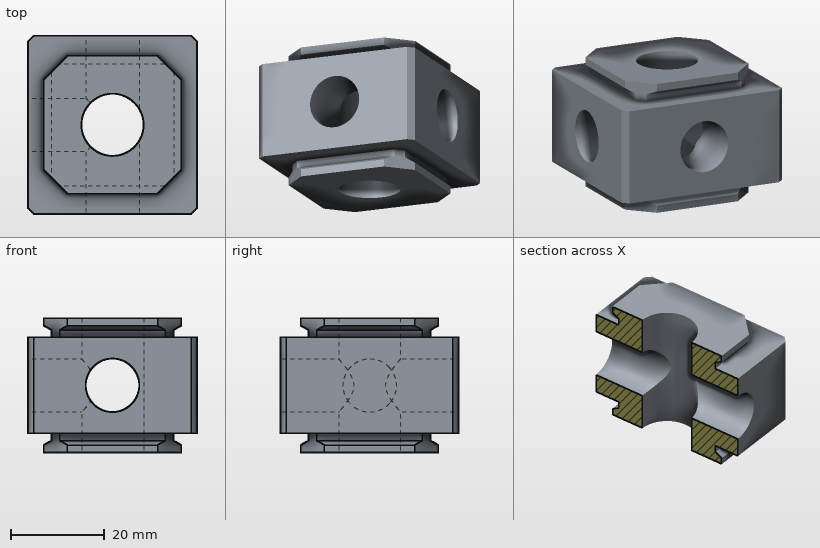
import cadquery as cq
import math

BLOCK_X = 36.0
BLOCK_Y = 38.0
BLOCK_Z = 20.5
BLOCK_CORNER_CUT = 1.27

TOTAL_HEIGHT = 28.63
NECK_WIDTH = 26.0
FLANGE_WIDTH = 29.3
FLANGE_CORNER_CUT = 5.05
FLANGE_RIM = 1.6
UNDERCUT_ANGLE = 30.0

VERTICAL_BORE_DIAMETER = 13.2
CROSS_BORE_DIAMETER = 11.35

PAD_HEIGHT = (TOTAL_HEIGHT - BLOCK_Z) / 2
FLANGE_OVERHANG = (FLANGE_WIDTH - NECK_WIDTH) / 2
UNDERCUT_HEIGHT = FLANGE_OVERHANG * math.tan(math.radians(UNDERCUT_ANGLE))
NECK_HEIGHT = PAD_HEIGHT - FLANGE_RIM - UNDERCUT_HEIGHT


def make_octagon(width_x, width_y, corner_cut, height):
    """Upright prism on the XY plane: a rectangle with its four corners cut at 45 degrees."""
    half_x = width_x / 2
    half_y = width_y / 2
    flat_x = half_x - corner_cut
    flat_y = half_y - corner_cut
    outline = [
        (half_x, flat_y),
        (flat_x, half_y),
        (-flat_x, half_y),
        (-half_x, flat_y),
        (-half_x, -flat_y),
        (-flat_x, -half_y),
        (flat_x, -half_y),
        (half_x, -flat_y),
    ]
    return cq.Workplane("XY").polyline(outline).close().extrude(height)


def make_block():
    """Central block with cut corners, centred on the origin."""
    block = make_octagon(BLOCK_X, BLOCK_Y, BLOCK_CORNER_CUT, BLOCK_Z)
    return block.translate((0, 0, -BLOCK_Z / 2))


def make_top_pad():
    """Square neck, flared flange and rim, trimmed by common 45 degree corner planes."""
    neck = cq.Workplane("XY").rect(NECK_WIDTH, NECK_WIDTH).extrude(NECK_HEIGHT)
    flare = (
        cq.Workplane("XY")
        .workplane(offset=NECK_HEIGHT)
        .rect(NECK_WIDTH, NECK_WIDTH)
        .workplane(offset=UNDERCUT_HEIGHT)
        .rect(FLANGE_WIDTH, FLANGE_WIDTH)
        .loft(ruled=True)
    )
    rim = (
        cq.Workplane("XY")
        .workplane(offset=NECK_HEIGHT + UNDERCUT_HEIGHT)
        .rect(FLANGE_WIDTH, FLANGE_WIDTH)
        .extrude(FLANGE_RIM)
    )
    corner_trim = make_octagon(FLANGE_WIDTH, FLANGE_WIDTH, FLANGE_CORNER_CUT, PAD_HEIGHT)
    pad = neck.union(flare).union(rim).intersect(corner_trim)
    return pad.translate((0, 0, BLOCK_Z / 2))


def make_vertical_bore():
    """Bore along Z through the block and both pads."""
    bore = cq.Workplane("XY").circle(VERTICAL_BORE_DIAMETER / 2).extrude(TOTAL_HEIGHT)
    return bore.translate((0, 0, -TOTAL_HEIGHT / 2))


def make_through_cross_bore():
    """Bore along Y through the whole block."""
    bore = cq.Workplane("XZ").circle(CROSS_BORE_DIAMETER / 2).extrude(BLOCK_Y)
    return bore.translate((0, BLOCK_Y / 2, 0))


def make_side_bore():
    """Bore along X from the -X face, ending in the vertical bore."""
    return cq.Workplane("YZ").circle(CROSS_BORE_DIAMETER / 2).extrude(-BLOCK_X / 2)


top_pad = make_top_pad()
bottom_pad = top_pad.mirror("XY")
body = make_block().union(top_pad).union(bottom_pad)

result = body.cut(make_vertical_bore()).cut(make_through_cross_bore()).cut(make_side_bore())